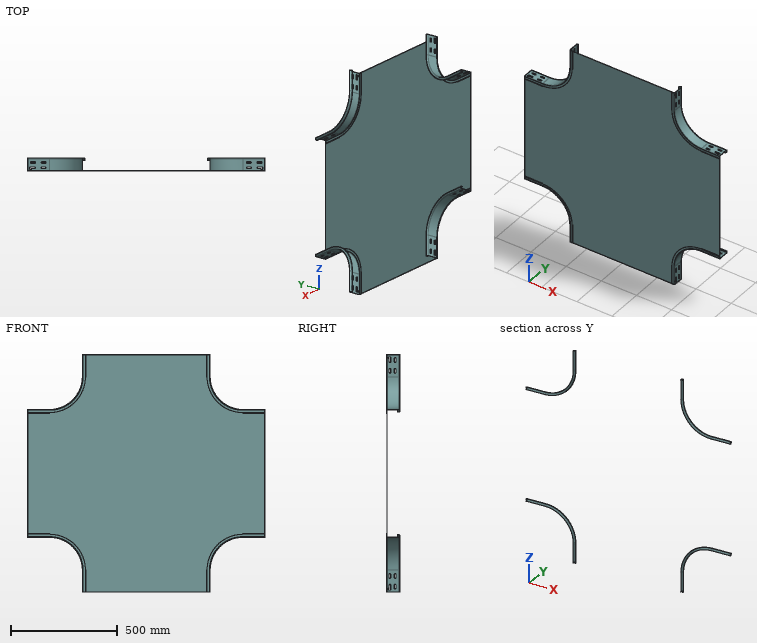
import cadquery as cq
import math

span = 1110.0
depth = 62.0
arm_width = 597.0
straight_length = 103.0
sheet = 1.3

bend_radius = 3.0
flange_width = 14.0
lip_radius = 6.1
lip_return = 5.0
strip_width = 3.0
strip_thickness = sheet / 2

slot_length = 21.0
slot_height = 7.0
slot_distances = (25.0, 75.0)
slot_heights = (15.0, 40.0)
notch_end = 11.0
notch_width = 7.0
notch_bottom = 8.0

half_span = span / 2
wall = arm_width / 2
arc_centre = half_span - straight_length
inner_bend = bend_radius - sheet
lip_centre = depth - lip_radius
lip_end = lip_centre - lip_return
lip_width = 2 * lip_radius
plate_margin = bend_radius
diagonal = math.sqrt(0.5)


def rail_profile(z):
    """Section across the +X side of the +Z arm at height z; inward is -X."""
    def at(inward, y):
        return (wall - inward, y)

    bend_mid = bend_radius * (1 - diagonal)
    inner_bend_mid = bend_radius - inner_bend * diagonal
    return (
        cq.Workplane("XY", origin=(0, 0, z))
        .moveTo(*at(flange_width, 0))
        .lineTo(*at(bend_radius, 0))
        .threePointArc(at(bend_mid, bend_mid), at(0, bend_radius))
        .lineTo(*at(0, lip_centre))
        .threePointArc(at(lip_radius, depth), at(lip_width, lip_centre))
        .lineTo(*at(lip_width, lip_end))
        .lineTo(*at(lip_width - sheet, lip_end))
        .lineTo(*at(lip_width - sheet, lip_centre))
        .threePointArc(at(lip_radius, depth - sheet), at(sheet, lip_centre))
        .lineTo(*at(sheet, bend_radius))
        .threePointArc(at(inner_bend_mid, inner_bend_mid), at(bend_radius, sheet))
        .lineTo(*at(flange_width, sheet))
        .close()
    )


def edge_strip():
    """Thin strip that widens the flange of the straight stretch; it lies against the plate."""
    return cq.Workplane("XY").box(
        strip_width, strip_thickness, straight_length, centered=False
    ).translate((wall - flange_width - strip_width, sheet - strip_thickness, arc_centre))


def slot_cutters():
    """Four slots through the wall; the outboard one next to the flange is notched."""
    cutter_depth = 4 * sheet
    cutters = cq.Workplane("XY")
    for distance in slot_distances:
        for height in slot_heights:
            slot = (
                cq.Workplane("YZ", origin=(wall - cutter_depth / 2, height, half_span - distance))
                .slot2D(slot_length, slot_height, 90)
                .extrude(cutter_depth)
            )
            cutters = cutters.add(slot)

    slot_centre = slot_distances[0]
    slot_top = slot_heights[0] + slot_height / 2
    notch = cq.Workplane("XY").box(
        cutter_depth, slot_top - notch_bottom, notch_width, centered=False
    ).translate((wall - cutter_depth / 2, notch_bottom, half_span - notch_end - notch_width))
    bridge = cq.Workplane("XY").box(
        cutter_depth, slot_height, slot_centre - notch_end, centered=False
    ).translate((wall - cutter_depth / 2, slot_top - slot_height, half_span - slot_centre))
    return cutters.add(notch).add(bridge).combine()


def straight_stretch():
    """Slotted straight end of a rail, on the +X side of the +Z arm."""
    return rail_profile(arc_centre).extrude(straight_length).union(edge_strip()).cut(slot_cutters())


def curved_stretch():
    """Quarter turn from the +Z arm to the +X arm."""
    axis_start = (arc_centre, 11)
    axis_end = (arc_centre, 0)
    return rail_profile(arc_centre).revolve(90, axis_start, axis_end)


def side_rail():
    """Whole rail of the +X +Z corner, symmetric about the X = Z diagonal."""
    on_z_arm = straight_stretch()
    on_x_arm = on_z_arm.rotate((0, 0, 0), (0, 1, 0), 90).mirror("XY")
    return on_z_arm.union(curved_stretch()).union(on_x_arm)


def base_plate():
    """Cross-shaped plate lying on the flanges, with a round hollow at each corner."""
    edge = wall - plate_margin
    hollow_radius = arc_centre - edge
    hollow_mid = arc_centre - hollow_radius * diagonal
    plate = cq.Workplane("XY").box(span, sheet, span).translate((0, sheet + sheet / 2, 0))
    hollow = (
        cq.Workplane("XZ")
        .moveTo(edge, half_span)
        .lineTo(edge, arc_centre)
        .threePointArc((hollow_mid, hollow_mid), (arc_centre, edge))
        .lineTo(half_span, edge)
        .lineTo(half_span, half_span)
        .close()
        .extrude(-depth)
    )
    for quarter in range(4):
        plate = plate.cut(hollow.rotate((0, 0, 0), (0, 1, 0), 90 * quarter))
    return plate


plate = base_plate()
corner_rail = side_rail()
rails = [corner_rail.rotate((0, 0, 0), (0, 1, 0), 90 * quarter) for quarter in range(4)]

result = cq.Compound.makeCompound([plate.val(), *[rail.val() for rail in rails]])